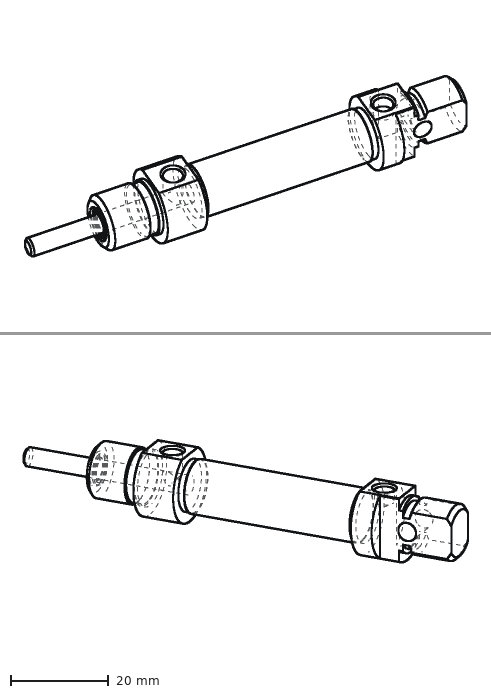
import cadquery as cq
import math

LENGTH = 98.0

ROD_DIA = 4.0
ROD_TIP_CHAMFER = 0.5
ROD_STICK_OUT = 16.0

FLANGE_DIA = 16.0
BOSS_DIA = 12.0
BOSS_CHAMFER = 1.0
OVERALL_HEIGHT = 15.0
FLANGE_TOP_Z = OVERALL_HEIGHT - FLANGE_DIA / 2
UNDERCUT_WALL_ANGLE = 30.0

HEAD_FRONT_Y = ROD_STICK_OUT
HEAD_UNDERCUT_FRONT_Y = 25.2
HEAD_UNDERCUT_REAR_Y = 27.0
HEAD_FLANGE_FRONT_Y = 27.9
HEAD_FLANGE_REAR_Y = 36.9
HEAD_UNDERCUT_DIA = 11.2

RECESS_DIA = 6.6
RECESS_MOUTH_DIA = 7.35
RECESS_DEPTH = 0.8
LIP_ROOT_DIA = 5.5
LIP_TIP_DIA = 5.1
LIP_BORE_DIA = 4.4
LIP_BORE_DEPTH = 0.6
LIP_SETBACK = 0.2

BARREL_DIA = 11.5
NECK_DIA = 11.1
NECK_LENGTH = 1.4

CAP_FLANGE_FRONT_Y = 77.1
CAP_STEP_Y = 81.8
CAP_FLANGE_REAR_Y = 86.1
CAP_UNDERCUT_FRONT_Y = 87.0
CAP_UNDERCUT_REAR_Y = 89.1
CAP_UNDERCUT_DIA = 10.0
TONGUE_WIDTH = 8.0
PIVOT_DIA = 4.0
PIVOT_Y = 88.0

PORT_DIA = 4.1
PORT_MOUTH_DIA = 5.1
PORT_TIP_ANGLE = 118.0
HEAD_PORT_Y = 33.0
CAP_PORT_Y = 80.9
CAP_PORT_DEPTH = 2.9


def revolve(points):
    """Solid of revolution about the Y axis from (radius, y) points."""
    return cq.Workplane("XY").polyline(points).close().revolve(360, (0, 0, 0), (0, 1, 0))


def flange(front_y, rear_y):
    """Round flange with a flat on top."""
    radius = FLANGE_DIA / 2
    disc = revolve([(0, front_y), (radius, front_y), (radius, rear_y), (0, rear_y)])
    below_flat = (
        cq.Workplane("XY", origin=(0, 0, -radius))
        .moveTo(-radius, front_y)
        .lineTo(radius, front_y)
        .lineTo(radius, rear_y)
        .lineTo(-radius, rear_y)
        .close()
        .extrude(OVERALL_HEIGHT)
    )
    return disc.intersect(below_flat)


def undercut_slope(undercut_dia):
    """Axial length of the sloped wall from an undercut up to the boss diameter."""
    return (BOSS_DIA - undercut_dia) / 2 * math.tan(math.radians(UNDERCUT_WALL_ANGLE))


def port(y, depth, tip_length=0):
    """Cutter for a vertical port: chamfered mouth, bore and an optional conical end."""
    radius = PORT_DIA / 2
    mouth = PORT_MOUTH_DIA / 2
    profile = [
        (0, 0),
        (mouth, 0),
        (radius, radius - mouth),
        (radius, -depth),
        (0, -depth - tip_length),
    ]
    cutter = cq.Workplane("XZ").polyline(profile).close().revolve(360, (0, 0, 0), (0, 1, 0))
    return cutter.translate((0, y, FLANGE_TOP_Z))


def make_rod():
    """Plain round rod with a chamfered tip, reaching back to the rear of the head."""
    radius = ROD_DIA / 2
    return revolve([
        (0, 0),
        (radius - ROD_TIP_CHAMFER, 0),
        (radius, ROD_TIP_CHAMFER),
        (radius, HEAD_FLANGE_REAR_Y),
        (0, HEAD_FLANGE_REAR_Y),
    ])


def head_boss():
    """Front boss: chamfered nose, undercut and collar."""
    radius = BOSS_DIA / 2
    undercut = HEAD_UNDERCUT_DIA / 2
    return revolve([
        (0, HEAD_FRONT_Y),
        (radius - BOSS_CHAMFER, HEAD_FRONT_Y),
        (radius, HEAD_FRONT_Y + BOSS_CHAMFER),
        (radius, HEAD_UNDERCUT_FRONT_Y - undercut_slope(HEAD_UNDERCUT_DIA)),
        (undercut, HEAD_UNDERCUT_FRONT_Y),
        (undercut, HEAD_UNDERCUT_REAR_Y),
        (radius, HEAD_UNDERCUT_REAR_Y),
        (radius, HEAD_FLANGE_FRONT_Y),
        (0, HEAD_FLANGE_FRONT_Y),
    ])


def wiper_recess():
    """Cutter that leaves a tapered wiper lip standing around the rod in a chamfered recess."""
    mouth = RECESS_MOUTH_DIA / 2
    wall = RECESS_DIA / 2
    floor_y = HEAD_FRONT_Y + RECESS_DEPTH
    lip_y = HEAD_FRONT_Y + LIP_SETBACK
    lip_bore = LIP_BORE_DIA / 2
    return revolve([
        (0, HEAD_FRONT_Y),
        (mouth, HEAD_FRONT_Y),
        (wall, HEAD_FRONT_Y + mouth - wall),
        (wall, floor_y),
        (LIP_ROOT_DIA / 2, floor_y),
        (LIP_TIP_DIA / 2, lip_y),
        (lip_bore, lip_y),
        (lip_bore, lip_y + LIP_BORE_DEPTH),
        (0, lip_y + LIP_BORE_DEPTH),
    ])


def make_head(rod):
    """Front head; its port runs down to the rod, which passes through a matching bore."""
    head = head_boss().union(flange(HEAD_FLANGE_FRONT_Y, HEAD_FLANGE_REAR_Y))
    head = head.cut(wiper_recess())
    head = head.cut(port(HEAD_PORT_Y, FLANGE_TOP_Z))
    return head.cut(rod)


def make_barrel():
    """Round barrel with a slightly narrower neck at each end."""
    radius = BARREL_DIA / 2
    neck = NECK_DIA / 2
    front_y = HEAD_FLANGE_REAR_Y
    rear_y = CAP_FLANGE_FRONT_Y
    return revolve([
        (0, front_y),
        (neck, front_y),
        (neck, front_y + NECK_LENGTH),
        (radius, front_y + NECK_LENGTH),
        (radius, rear_y - NECK_LENGTH),
        (neck, rear_y - NECK_LENGTH),
        (neck, rear_y),
        (0, rear_y),
    ])


def cap_boss():
    """Rear boss: undercut next to the flange and a chamfered end."""
    radius = BOSS_DIA / 2
    undercut = CAP_UNDERCUT_DIA / 2
    return revolve([
        (0, CAP_FLANGE_REAR_Y),
        (radius, CAP_FLANGE_REAR_Y),
        (radius, CAP_UNDERCUT_FRONT_Y),
        (undercut, CAP_UNDERCUT_FRONT_Y),
        (undercut, CAP_UNDERCUT_REAR_Y - undercut_slope(CAP_UNDERCUT_DIA)),
        (radius, CAP_UNDERCUT_REAR_Y),
        (radius, LENGTH - BOSS_CHAMFER),
        (radius - BOSS_CHAMFER, LENGTH),
        (0, LENGTH),
    ])


def tongue_envelope():
    """Space the cap may fill: full width up to the step, then only the tongue width."""
    full = FLANGE_DIA / 2
    tongue = TONGUE_WIDTH / 2
    outline = [
        (-full, CAP_FLANGE_FRONT_Y),
        (full, CAP_FLANGE_FRONT_Y),
        (full, CAP_STEP_Y),
        (tongue, CAP_STEP_Y),
        (tongue, LENGTH),
        (-tongue, LENGTH),
        (-tongue, CAP_STEP_Y),
        (-full, CAP_STEP_Y),
    ]
    return cq.Workplane("XY").polyline(outline).close().extrude(full, both=True)


def make_rear_cap():
    """Rear cap with side flats, a cross hole for the pivot and a blind port."""
    cap = cap_boss().union(flange(CAP_FLANGE_FRONT_Y, CAP_FLANGE_REAR_Y))
    cap = cap.intersect(tongue_envelope())
    pivot = cq.Workplane("YZ").center(PIVOT_Y, 0).circle(PIVOT_DIA / 2).extrude(TONGUE_WIDTH, both=True)
    tip_length = PORT_DIA / 2 / math.tan(math.radians(PORT_TIP_ANGLE / 2))
    return cap.cut(pivot).cut(port(CAP_PORT_Y, CAP_PORT_DEPTH, tip_length))


rod = make_rod()
head = make_head(rod)
barrel = make_barrel()
rear_cap = make_rear_cap()

result = cq.Compound.makeCompound([rod.val(), head.val(), barrel.val(), rear_cap.val()])